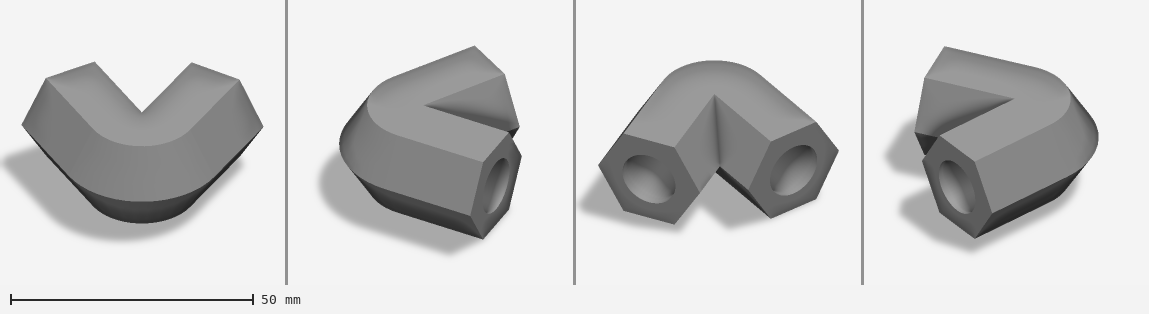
import cadquery as cq
import math

bend_radius_outer = 17.3
bend_angle = 120.0
bore_diameter = 12.0

hex_side = bend_radius_outer / 1.5
hex_half_height = hex_side * math.sqrt(3) / 2
arm_length = 2 * hex_half_height
bore_offset = hex_side / 2


def arm_section():
    """Sketch plane at the start of the +Y arm, centred on the hexagon."""
    return cq.Workplane("XZ", origin=(bore_offset, 0, 0))


def place_second(shape):
    """Turn a feature of the +Y arm about the bend axis, onto the second arm."""
    mirrored = shape.mirror("YZ")
    return mirrored.rotate((0, 0, 0), (0, 0, 1), 180 - bend_angle)


def make_arm():
    return arm_section().polygon(6, 2 * hex_side).extrude(-arm_length)


def make_bore():
    return arm_section().circle(bore_diameter / 2).extrude(-arm_length)


def make_elbow():
    """Outer part of the hexagon, revolved about the Z axis."""
    profile = cq.Workplane("XZ").polyline([
        (0, -hex_half_height),
        (hex_side, -hex_half_height),
        (bend_radius_outer, 0),
        (hex_side, hex_half_height),
        (0, hex_half_height),
    ]).close()
    return profile.revolve(bend_angle, (0, 0, 0), (0, -1, 0))


arm = make_arm()
bore = make_bore()
body = make_elbow().union(arm).union(place_second(arm))
result = body.cut(bore).cut(place_second(bore))